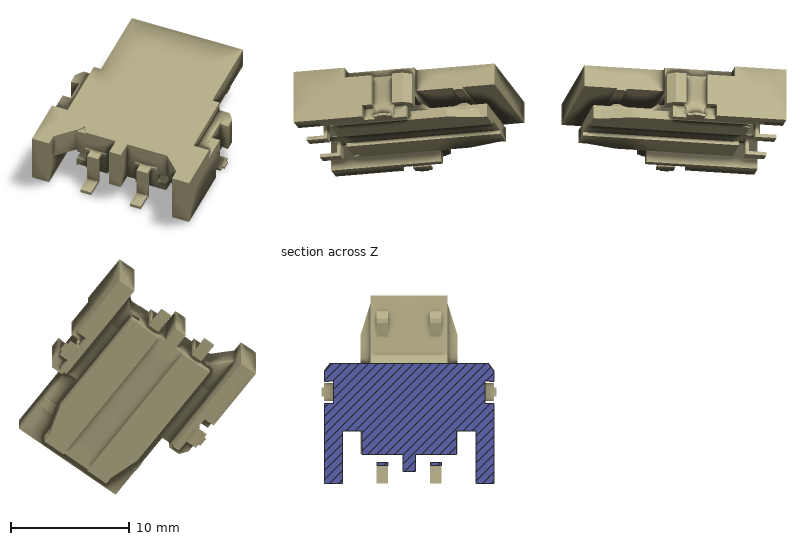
import cadquery as cq


height = 4.62
length = 17.0
body_half_width = 7.2
body_back = 10.2
body_bottom = 0.12
front_wall = 2.43
deck_bottom = 2.14
leg_inner = 5.63
leg_straight = 0.95
notch_corner = 4.17
corner_cut_x = 0.5
corner_cut_y = 0.67
rail_back = 9.59

relief_inner = 4.03
relief_back = 4.43
relief_height = 0.18

tongue_half_width = 5.1
tongue_bottom = 2.75
stop_front = 13.37
stop_length = 0.84
stop_height = 0.15

ledge_inner = 5.76
ledge_front = 4.43
ledge_z = 3.74

core_half_width = 3.27
flange_half_width = 4.1
plate_bottom = 0.58
plate_top = 1.75
plate_back = 15.88
flange_top = 1.33
flange_taper_start = 12.58
flange_taper_end = 15.21
groove_half_width = 1.27
groove_top = 0.89
ramp_length = 0.71
ramp_height = 0.55

rib_half_width = 0.53
rib_front = 1.0

mark_center = -3.65
mark_half_width = 0.4
mark_length = 0.67
mark_depth = 0.12

contact_x = 2.27
contact_width = 1.0
contact_front = 1.49
contact_top = 2.88
contact_thickness = 0.3
shoulder_width = 2.04
shoulder_reach = 0.12
spring_start = 12.44
spring_peak_start = 13.55
spring_peak_end = 13.97
spring_end = 14.6
spring_rise = 0.41

clip_outer = 6.44
clip_thickness = 0.2
clip_inner = clip_outer - clip_thickness
clip_front = 6.04
clip_back = 9.34
clip_top = 3.8
window_front = 6.79
window_back = 8.59
window_back_inner = 8.69
lower_notch_front = 5.96
lower_notch_top = 1.12
clip_foot_front = 6.97
clip_foot_back = 8.48
clip_neck_taper = 0.25
clip_tab_front = 7.33
clip_tab_back = 8.1
clip_tab_outer = 7.4

both_sides = (-1, 1)


def box(x0, x1, y0, y1, z0, z1):
    """Block between opposite corners."""
    return cq.Workplane("XY").box(x1 - x0, y1 - y0, z1 - z0, centered=False).translate((x0, y0, z0))


def bar(half_width, y0, y1, z0, z1):
    """Block centred on X = 0."""
    return box(-half_width, half_width, y0, y1, z0, z1)


def side_box(side, inner, outer, y0, y1, z0, z1):
    """Block on one side, between two distances from X = 0."""
    x0, x1 = sorted((side * inner, side * outer))
    return box(x0, x1, y0, y1, z0, z1)


def plan_prism(points, z0, z1):
    """Outline in X and Y raised from z0 to z1."""
    return cq.Workplane("XY").workplane(offset=z0).polyline(points).close().extrude(z1 - z0)


def profile_prism(points, x_center, width):
    """Outline in Y and Z spread evenly about x_center."""
    plane = cq.Workplane("YZ").workplane(offset=x_center - width / 2)
    return plane.polyline(points).close().extrude(width)


def make_housing():
    right_half = [
        (leg_inner, 0),
        (body_half_width, 0),
        (body_half_width, body_back - corner_cut_y),
        (body_half_width - corner_cut_x, body_back),
    ]
    front_notch = [(leg_inner, leg_straight), (notch_corner, front_wall)]
    half = front_notch[::-1] + right_half
    mirrored = [(-x, y) for x, y in reversed(half)]
    housing = plan_prism(half + mirrored, body_bottom, height)
    housing = housing.cut(bar(leg_inner, 0, body_back, body_bottom, deck_bottom))
    relief_top = deck_bottom + relief_height
    for side in both_sides:
        relief = side_box(side, relief_inner, leg_inner, 0, relief_back, deck_bottom, relief_top)
        ledge = side_box(side, ledge_inner, body_half_width, ledge_front, body_back, ledge_z, height)
        rail_end = side_box(
            side, leg_inner, body_half_width, rail_back, body_back, body_bottom, lower_notch_top
        )
        housing = housing.cut(relief).cut(ledge).cut(rail_end)
    return housing


def make_tongue():
    tongue = bar(tongue_half_width, body_back, length, tongue_bottom, height)
    stop_bottom = tongue_bottom - stop_height
    stop = bar(tongue_half_width, stop_front, stop_front + stop_length, stop_bottom, tongue_bottom)
    return tongue.union(stop)


def make_lower_plate():
    plate = bar(core_half_width, front_wall, plate_back, plate_bottom, plate_top)
    web = bar(core_half_width, front_wall, body_back, plate_top, deck_bottom)
    flange_outline = [
        (-flange_half_width, front_wall),
        (flange_half_width, front_wall),
        (flange_half_width, flange_taper_start),
        (core_half_width, flange_taper_end),
        (-core_half_width, flange_taper_end),
        (-flange_half_width, flange_taper_start),
    ]
    flange = plan_prism(flange_outline, plate_bottom, flange_top)
    ramp_outline = [
        (body_back, plate_top),
        (body_back + ramp_length, plate_top),
        (body_back, plate_top + ramp_height),
    ]
    ramp = profile_prism(ramp_outline, 0, 2 * core_half_width)
    groove = bar(groove_half_width, front_wall, plate_back, plate_bottom, groove_top)
    return plate.union(web).union(flange).union(ramp).cut(groove)


def make_rib():
    return bar(rib_half_width, rib_front, front_wall, groove_top, height)


def make_mark(z0):
    outline = [
        (mark_center - mark_half_width, front_wall),
        (mark_center + mark_half_width, front_wall),
        (mark_center, front_wall + mark_length),
    ]
    return plan_prism(outline, z0, z0 + mark_depth)


def make_contact(x_center):
    post_back = contact_front + contact_thickness
    arm_bottom = contact_top - contact_thickness
    lead_outline = [
        (0, 0),
        (post_back, 0),
        (post_back, arm_bottom),
        (front_wall, arm_bottom),
        (front_wall, contact_top),
        (contact_front, contact_top),
        (contact_front, contact_thickness),
        (0, contact_thickness),
    ]
    lead = profile_prism(lead_outline, x_center, contact_width)
    shoulder = box(
        x_center - shoulder_width / 2,
        x_center + shoulder_width / 2,
        front_wall - shoulder_reach,
        front_wall,
        arm_bottom,
        contact_top,
    )
    spring_outline = [
        (spring_start, plate_top),
        (spring_peak_start, plate_top + spring_rise),
        (spring_peak_end, plate_top + spring_rise),
        (spring_end, plate_top),
    ]
    spring = profile_prism(spring_outline, x_center, contact_width)
    return lead.union(shoulder).union(spring)


def make_clip_space(side):
    """Window through the side wall and the wider notch under it."""
    window_outline = [
        (side * body_half_width, window_front),
        (side * clip_outer, window_front),
        (side * clip_outer, window_back_inner),
        (side * body_half_width, window_back),
    ]
    window = plan_prism(window_outline, lower_notch_top, ledge_z)
    notch = side_box(
        side, clip_inner, body_half_width, lower_notch_front, rail_back, body_bottom, lower_notch_top
    )
    return window.union(notch)


def make_clip(side):
    plate = side_box(side, clip_inner, clip_outer, clip_front, clip_back, lower_notch_top, clip_top)
    neck_outline = [
        (clip_foot_front, 0),
        (clip_foot_back, 0),
        (clip_foot_back, lower_notch_top - clip_neck_taper),
        (window_back, lower_notch_top),
        (window_front, lower_notch_top),
        (clip_foot_front, lower_notch_top - clip_neck_taper),
    ]
    neck_center = side * (clip_inner + clip_outer) / 2
    neck = profile_prism(neck_outline, neck_center, clip_thickness)
    foot = side_box(
        side, clip_inner, body_half_width, clip_foot_front, clip_foot_back, 0, clip_thickness
    )
    tab = side_box(
        side, body_half_width, clip_tab_outer, clip_tab_front, clip_tab_back, 0, clip_thickness
    )
    return plate.union(neck).union(foot).union(tab)


result = make_housing().union(make_tongue()).union(make_lower_plate()).union(make_rib())
result = result.cut(make_mark(height - mark_depth)).cut(make_mark(plate_bottom))
for side in both_sides:
    result = result.cut(make_clip_space(side)).union(make_clip(side))
    result = result.union(make_contact(side * contact_x))